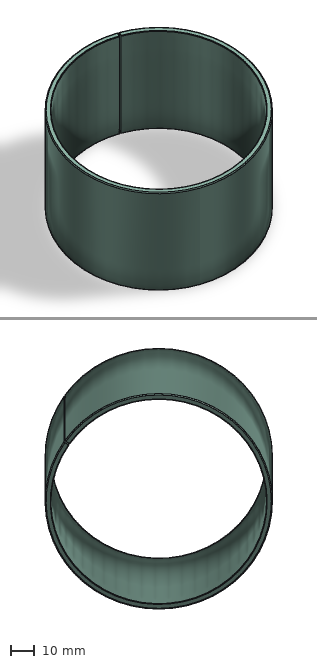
import cadquery as cq

outer_diameter = 95.0
wall = 2.5
length = 60.0
outer_chamfer = 0.5
inner_chamfer = 0.3
split_gap = 0.8

outer_radius = outer_diameter / 2
inner_radius = outer_radius - wall


def bush_sleeve():
    """Plain tube with its end edges chamfered outside and inside."""
    sleeve = cq.Workplane("XY").circle(outer_radius).circle(inner_radius).extrude(length)
    outer_edges = cq.selectors.RadiusNthSelector(-1)
    inner_edges = cq.selectors.RadiusNthSelector(0)
    sleeve = sleeve.faces("<Z or >Z").edges(outer_edges).chamfer(outer_chamfer)
    return sleeve.faces("<Z or >Z").edges(inner_edges).chamfer(inner_chamfer)


def split_cutter():
    """Thin slab through the wall on the -X side, over the full length."""
    slab = cq.Workplane("XY").box(outer_radius, split_gap, length, centered=False)
    return slab.translate((-outer_radius, 0, 0))


result = bush_sleeve().cut(split_cutter())